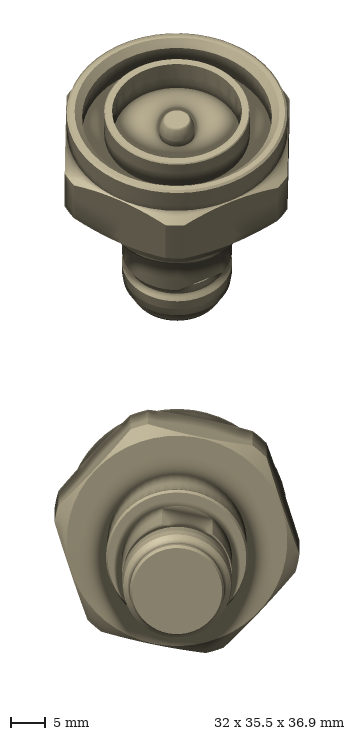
import cadquery as cq
import math

total_height = 36.85

plug_nose_radius = 6.78
plug_nose_bevel_width = 0.3
plug_nose_bevel_height = 0.5
plug_nose_top = 1.55
plug_radius = 7.92
plug_taper_radius = 7.75
plug_taper_bottom = 2.47
plug_taper_top = 3.9
plug_shoulder_bottom = 5.55
neck_radius = 7.15
neck_bottom = plug_shoulder_bottom + plug_radius - neck_radius
neck_top = 7.9

flat_offset = 7.0
flat_top = 15.05

body_radius = 10.0
body_bottom = 15.4
collar_radius = 10.2
collar_bevel_width = 0.25
collar_bevel_height = 0.5
collar_top = 16.95

nut_across_flats = 32.0
nut_across_corners = 35.5
nut_corner_radius = nut_across_corners / 2
nut_bottom = 23.73
nut_top = 32.75
nut_chamfer_angle = 30.0

rim_radius = 15.85
rim_top = 36.7
rim_bevel_width = 0.35
rim_bevel_height = 0.25
rim_bore_radius = 13.65
rim_mouth_radius = 14.7
rim_mouth_depth = 1.05

socket_floor = 32.15
tube_radius = 10.45
tube_bevel = 0.15
tube_bore_radius = 9.1
tube_mouth_radius = 9.32
tube_taper_bottom = 32.8
pin_radius = 2.55
pin_cylinder_top = 33.13
pin_tip_radius = 1.95
pin_tip_bevel = 0.15
pin_top = 35.1


def revolve_profile(points):
    """Turn a closed (radius, height) outline around the Z axis."""
    return cq.Workplane("XZ").polyline(points).close().revolve(360, (0, 0), (0, 1))


def make_stem_and_body():
    return revolve_profile([
        (0, 0),
        (plug_nose_radius - plug_nose_bevel_width, 0),
        (plug_nose_radius, plug_nose_bevel_height),
        (plug_nose_radius, plug_nose_top),
        (plug_taper_radius, plug_taper_bottom),
        (plug_radius, plug_taper_top),
        (plug_radius, plug_shoulder_bottom),
        (neck_radius, neck_bottom),
        (neck_radius, neck_top),
        (plug_radius, neck_top),
        (plug_radius, body_bottom),
        (collar_radius - collar_bevel_width, body_bottom),
        (collar_radius, body_bottom + collar_bevel_height),
        (body_radius, collar_top),
        (body_radius, socket_floor),
        (0, socket_floor),
    ])


def cut_wrench_flats(stem):
    flat_height = flat_top - neck_top
    slab_depth = plug_radius - flat_offset
    for side in (-1, 1):
        slab = (
            cq.Workplane("XY", origin=(side * (flat_offset + slab_depth / 2), 0, neck_top))
            .box(slab_depth, 2 * plug_radius, flat_height, centered=(True, True, False))
        )
        stem = stem.cut(slab)
    return stem


def make_nut():
    half_side_angle = 30
    hexagon_diameter = nut_across_flats / math.cos(math.radians(half_side_angle))
    hexagon = (
        cq.Workplane("XY", origin=(0, 0, nut_bottom))
        .polygon(6, hexagon_diameter)
        .extrude(nut_top - nut_bottom)
        .rotate((0, 0, 0), (0, 0, 1), half_side_angle)
    )
    chamfer_height = (nut_corner_radius - rim_radius) * math.tan(math.radians(nut_chamfer_angle))
    corner_limit = revolve_profile([
        (0, nut_bottom),
        (rim_radius, nut_bottom),
        (nut_corner_radius, nut_bottom + chamfer_height),
        (nut_corner_radius, nut_top - chamfer_height),
        (rim_radius, nut_top),
        (0, nut_top),
    ])
    rim = revolve_profile([
        (0, nut_bottom),
        (rim_radius, nut_bottom),
        (rim_radius, rim_top - rim_bevel_height),
        (rim_radius - rim_bevel_width, rim_top),
        (0, rim_top),
    ])
    mouth = revolve_profile([
        (0, socket_floor),
        (rim_bore_radius, socket_floor),
        (rim_bore_radius, rim_top - rim_mouth_depth),
        (rim_mouth_radius, rim_top),
        (0, rim_top),
    ])
    return hexagon.intersect(corner_limit).union(rim).cut(mouth)


def make_socket_tube():
    return revolve_profile([
        (tube_bore_radius, nut_bottom),
        (tube_radius, nut_bottom),
        (tube_radius, total_height - tube_bevel),
        (tube_radius - tube_bevel, total_height),
        (tube_mouth_radius, total_height),
        (tube_bore_radius, tube_taper_bottom),
    ])


def make_pin():
    return (
        cq.Workplane("XZ")
        .moveTo(0, nut_bottom)
        .lineTo(pin_radius, nut_bottom)
        .lineTo(pin_radius, pin_cylinder_top)
        .tangentArcPoint((pin_tip_radius, pin_top - pin_tip_bevel), relative=False)
        .lineTo(pin_tip_radius - pin_tip_bevel, pin_top)
        .lineTo(0, pin_top)
        .close()
        .revolve(360, (0, 0), (0, 1))
    )


stem_and_body = cut_wrench_flats(make_stem_and_body())
result = stem_and_body.union(make_nut()).union(make_socket_tube()).union(make_pin())